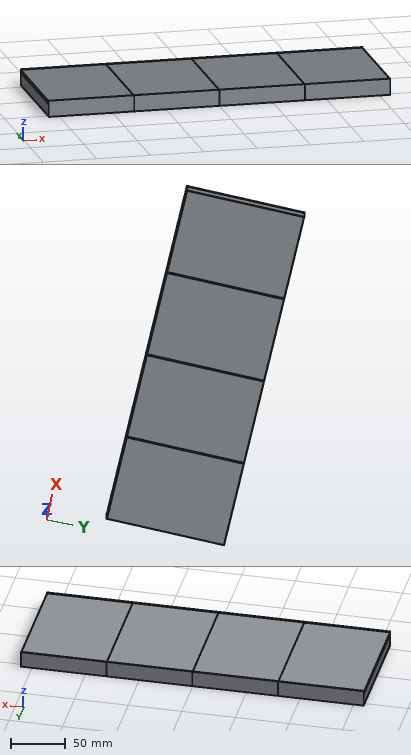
import cadquery as cq

total_length = 319.8
tile_width = 110.0
tile_count = 4
tile_gap = 0.2
tile_length = (total_length - (tile_count - 1) * tile_gap) / tile_count
tile_pitch = tile_length + tile_gap

floor_thickness = 12.0
panel_thickness = 2.85
panel_recess = 0.5
tile_height = floor_thickness + panel_thickness + panel_recess
rim_thickness = 1.3
panel_width = tile_width - 2 * rim_thickness
bottom_chamfer = 0.5


def plate(width, thickness, bottom):
    """Flat plate as long as one tile, centred on the Z axis, with its underside at the given height."""
    return (
        cq.Workplane("XY", origin=(0, 0, bottom))
        .box(tile_length, width, thickness, centered=(True, True, False))
    )


def make_tray():
    """Block with a chamfered underside and a channel open at both ends along its top."""
    block = plate(tile_width, tile_height, 0).faces("<Z").chamfer(bottom_chamfer)
    channel = plate(panel_width, tile_height - floor_thickness, floor_thickness)
    return block.cut(channel)


def make_panel():
    """Plate that lies on the channel floor, slightly below the tops of the rims."""
    return plate(panel_width, panel_thickness, floor_thickness)


bodies = []
for index in range(tile_count):
    tile_center = (index - (tile_count - 1) / 2) * tile_pitch
    tray = make_tray().translate((tile_center, 0, 0))
    panel = make_panel().translate((tile_center, 0, 0))
    bodies += [tray.val(), panel.val()]

result = cq.Compound.makeCompound(bodies)